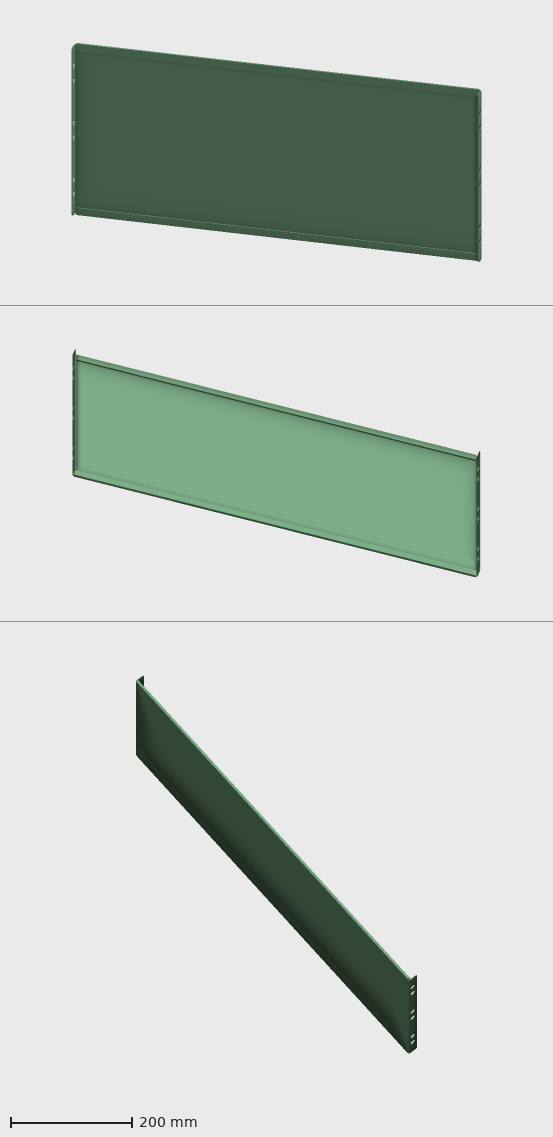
import cadquery as cq

length = 706.0
depth = 18.0
height = 303.0

sheet = 1.5
outer_bend_radius = 2.0
inner_bend_radius = 1.5
hem_depth = 4.0
hem_width = 13.0
hem_end_gap = 3.0

flange_end_gap = 2.0
flange_corner = 4.0
flange_height = height - 2 * flange_end_gap

hole_diameter = 10.0
hole_setback = 8.5
hole_spacing = 25.5
pair_spacing = 100.0


def make_tray():
    """Panel with its back at Y = 0 and rounded bends to both end flanges."""
    outer = (
        cq.Workplane("XY")
        .box(length, depth, flange_height, centered=(True, False, True))
        .translate((0, -depth, 0))
        .edges("|Z and >Y")
        .fillet(outer_bend_radius)
    )
    inside = (
        cq.Workplane("XY")
        .box(length - 2 * sheet, depth, flange_height, centered=(True, False, True))
        .translate((0, -depth - sheet, 0))
        .edges("|Z and >Y")
        .fillet(inner_bend_radius)
    )
    return outer.cut(inside).edges("|X and <Y").fillet(flange_corner)


def make_hem(side):
    """Edge folded flat onto the panel; side is 1 at the top and -1 at the bottom."""
    hem_length = length - 2 * hem_end_gap
    hem_center = side * (height - hem_width) / 2
    return cq.Workplane("XY").box(hem_length, hem_depth, hem_width).translate((0, -hem_depth / 2, hem_center))


def make_hole_cutters():
    """Rods through both flanges."""
    points = []
    for pair in (-1, 0, 1):
        for side in (-1, 1):
            points.append((-hole_setback, pair * pair_spacing + side * hole_spacing / 2))
    return cq.Workplane("YZ").pushPoints(points).circle(hole_diameter / 2).extrude(length / 2, both=True)


tray = make_tray()
for hem_side in (-1, 1):
    tray = tray.union(make_hem(hem_side))
result = tray.cut(make_hole_cutters())